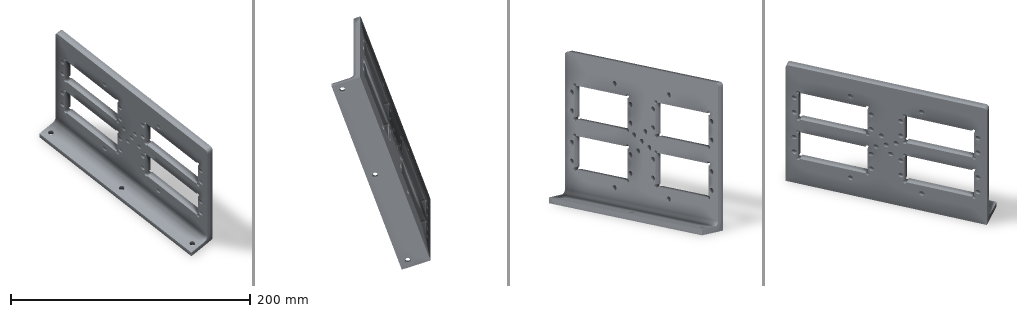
import cadquery as cq
import math

LENGTH = 177.8
DEPTH = 25.5
HEIGHT = 127.0
PLATE_THICKNESS = 6.0
FOOT_THICKNESS = 5.0
INNER_FILLET = 4.0
TOP_CORNER_RADIUS = 3.0
HOLE_DIAMETER = 4.6

PATTERN_HEIGHT = HEIGHT / 2
WINDOW_WIDTH = 61.2
WINDOW_HEIGHT = 29.2
WINDOW_PITCH_X = 94.0
WINDOW_PITCH_Z = 43.0
CORNER_RELIEF_DIAMETER = 3.4

WINDOW_HOLE_PITCH_X = 68.0
WINDOW_HOLE_PITCH_Z = 16.0
OUTER_HOLE_PITCH_X = 63.0
OUTER_HOLE_PITCH_Z = 89.0
CROSS_RADIUS = 9.8
CROSS_ANGLE = 65.0
CROSS_HOLE_COUNT = 4

FOOT_HOLE_PITCH = 82.7
FOOT_HOLE_INSET = 7.5


def rectangle_corners(center, pitch_x, pitch_z):
    """Four points spaced evenly about a center."""
    x, z = center
    return [
        (x + side * pitch_x / 2, z + level * pitch_z / 2)
        for side in (-1, 1)
        for level in (-1, 1)
    ]


def make_bracket():
    """L-shaped body with a filleted inner corner and rounded top corners."""
    plate = cq.Workplane("XY").box(LENGTH, PLATE_THICKNESS, HEIGHT, centered=(True, False, False))
    plate = plate.translate((0, DEPTH - PLATE_THICKNESS, 0))
    plate = plate.edges("|Y and >Z").fillet(TOP_CORNER_RADIUS)
    foot = cq.Workplane("XY").box(LENGTH, DEPTH, FOOT_THICKNESS, centered=(True, False, False))
    inner_corner = cq.selectors.NearestToPointSelector((0, DEPTH - PLATE_THICKNESS, FOOT_THICKNESS))
    return plate.union(foot).edges(inner_corner).fillet(INNER_FILLET)


def plate_plane():
    """Sketch plane on the rear face, facing forward."""
    return cq.Workplane("XZ", origin=(0, DEPTH, 0))


def plate_holes(points, diameter):
    """Round cutters through the upright plate."""
    return plate_plane().pushPoints(points).circle(diameter / 2).extrude(PLATE_THICKNESS)


pattern_center = (0, PATTERN_HEIGHT)
window_centers = rectangle_corners(pattern_center, WINDOW_PITCH_X, WINDOW_PITCH_Z)

result = make_bracket()

windows = plate_plane().pushPoints(window_centers).rect(WINDOW_WIDTH, WINDOW_HEIGHT)
result = result.cut(windows.extrude(PLATE_THICKNESS))
for window_center in window_centers:
    reliefs = rectangle_corners(window_center, WINDOW_WIDTH, WINDOW_HEIGHT)
    side_holes = rectangle_corners(window_center, WINDOW_HOLE_PITCH_X, WINDOW_HOLE_PITCH_Z)
    result = result.cut(plate_holes(reliefs, CORNER_RELIEF_DIAMETER))
    result = result.cut(plate_holes(side_holes, HOLE_DIAMETER))

outer_holes = rectangle_corners(pattern_center, OUTER_HOLE_PITCH_X, OUTER_HOLE_PITCH_Z)
result = result.cut(plate_holes(outer_holes, HOLE_DIAMETER))

cross_holes = [pattern_center]
for index in range(CROSS_HOLE_COUNT):
    angle = math.radians(CROSS_ANGLE + index * 360 / CROSS_HOLE_COUNT)
    x = CROSS_RADIUS * math.cos(angle)
    z = PATTERN_HEIGHT + CROSS_RADIUS * math.sin(angle)
    cross_holes.append((x, z))
result = result.cut(plate_holes(cross_holes, HOLE_DIAMETER))

foot_holes = [(step * FOOT_HOLE_PITCH, FOOT_HOLE_INSET) for step in (-1, 0, 1)]
foot_cutters = cq.Workplane("XY").pushPoints(foot_holes).circle(HOLE_DIAMETER / 2).extrude(FOOT_THICKNESS)
result = result.cut(foot_cutters)